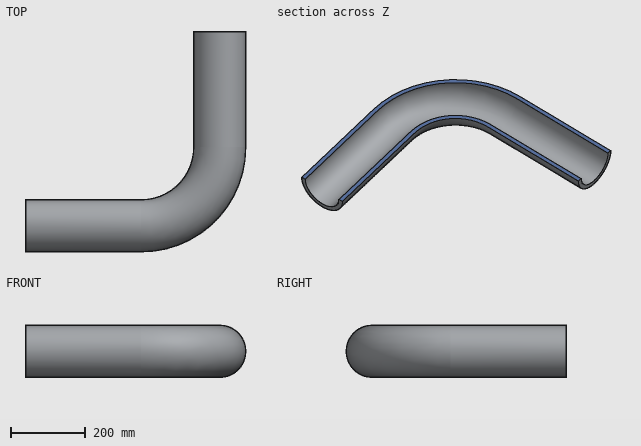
import cadquery as cq

outer_diameter = 140.0
bore_diameter = 114.6
leg_length = 310.0
bend_radius = 1.5 * outer_diameter
bend_angle = 90.0


def pipe_section(plane):
    """Ring-shaped pipe cross-section centred on the given plane."""
    return (
        cq.Workplane(plane)
        .circle(outer_diameter / 2)
        .circle(bore_diameter / 2)
    )


bend_start = cq.Plane(origin=(0, 0, 0), xDir=(0, 1, 0), normal=(1, 0, 0))
bend_end = cq.Plane(origin=(bend_radius, bend_radius, 0), xDir=(1, 0, 0), normal=(0, 1, 0))


def inlet_leg():
    """Straight pipe along X, ending where the bend starts."""
    return pipe_section(bend_start).extrude(-leg_length)


def elbow():
    """Quarter-torus pipe bend about a vertical axis at (0, bend_radius)."""
    return pipe_section(bend_start).revolve(
        bend_angle,
        axisStart=(bend_radius, 0, 0),
        axisEnd=(bend_radius, 1, 0),
    )


def outlet_leg():
    """Straight pipe along Y, beginning where the bend ends."""
    return pipe_section(bend_end).extrude(leg_length)


result = inlet_leg().union(elbow()).union(outlet_leg())